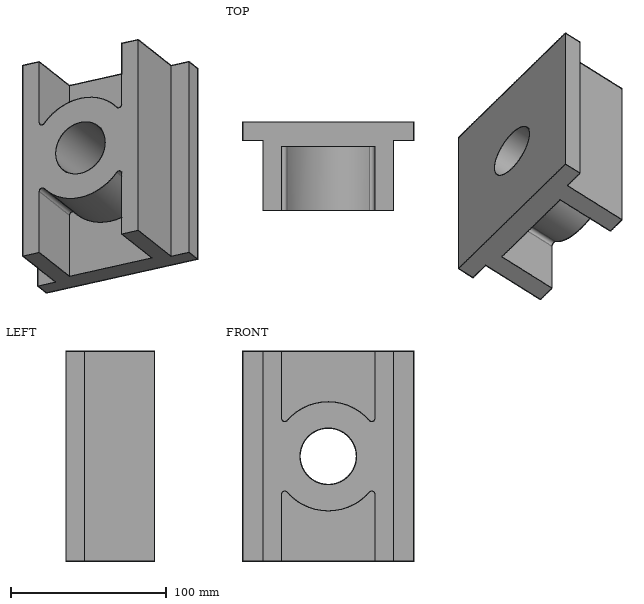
import cadquery as cq

height = 135.0
flange_width = 110.0
depth = 57.0

flange_thickness = 12.0
wall_thickness = 12.0
body_width = 84.0
floor_thickness = 15.7
pocket_width = body_width - 2 * wall_thickness
pocket_depth = depth - floor_thickness

boss_diameter = 70.0
bore_diameter = 36.0
corner_radius = 2.0

front_y = -depth / 2
back_y = depth / 2


def block(width, start_y, length):
    """Full-height block centred on X, running back from start_y."""
    return cq.Workplane("XY").box(width, length, height).translate((0, start_y + length / 2, 0))


def cylinder(diameter, length):
    """Cylinder along Y, running back from the front face."""
    return cq.Workplane("XZ", origin=(0, front_y, 0)).circle(diameter / 2).extrude(-length)


flange = block(flange_width, back_y - flange_thickness, flange_thickness)
body = flange.union(block(body_width, front_y, depth))

pocket = block(pocket_width, front_y, pocket_depth).cut(cylinder(boss_diameter, pocket_depth))
inner_corners = cq.selectors.BoxSelector(
    (-body_width / 2, front_y, -boss_diameter / 2),
    (body_width / 2, back_y, boss_diameter / 2),
)
pocket = pocket.edges("|Y").edges(inner_corners).fillet(corner_radius)

result = body.cut(pocket).cut(cylinder(bore_diameter, depth))